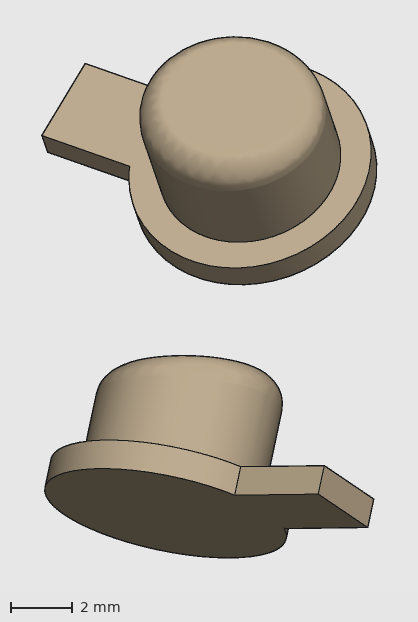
import cadquery as cq
import math

flange_diameter = 8.0
flange_thickness = 0.99
post_diameter = 6.0
post_height = 3.86
edge_radius = 0.99
tab_width = 3.0
tab_reach = 7.0
cutter_size = 3 * post_diameter

axis_slope_x = -0.052
axis_slope_y = -0.218
top_slope_x = 0.025
top_slope_y = -0.05
tab_heading = math.radians(197.2)


def tilted_plane():
    """Plane of the flange face, with its local X running along the tab."""
    heading_x = math.cos(tab_heading)
    heading_y = math.sin(tab_heading)
    fall = axis_slope_x * heading_x + axis_slope_y * heading_y
    return cq.Plane(
        origin=(0, 0, 0),
        xDir=(heading_x, heading_y, -fall),
        normal=(axis_slope_x, axis_slope_y, 1),
    )


def make_flange(face):
    """Round flange and its radial tab, both hanging below the face."""
    disc = cq.Workplane(face).circle(flange_diameter / 2).extrude(-flange_thickness)
    tab = (
        cq.Workplane(face)
        .center(tab_reach / 2, 0)
        .rect(tab_reach, tab_width)
        .extrude(-flange_thickness)
    )
    return disc.union(tab)


def make_post(face):
    """Round post trimmed by the sloped top, with a rounded rim."""
    top_plane = cq.Plane(
        origin=face.toWorldCoords((0, 0, post_height)),
        xDir=(1, 0, -top_slope_x),
        normal=(top_slope_x, top_slope_y, 1),
    )
    post = cq.Workplane(face).circle(post_diameter / 2).extrude(2 * post_height)
    above_top = cq.Workplane(top_plane).rect(cutter_size, cutter_size).extrude(cutter_size)
    return post.cut(above_top).faces(">Z").edges().fillet(edge_radius)


flange_face = tilted_plane()
result = make_flange(flange_face).union(make_post(flange_face))